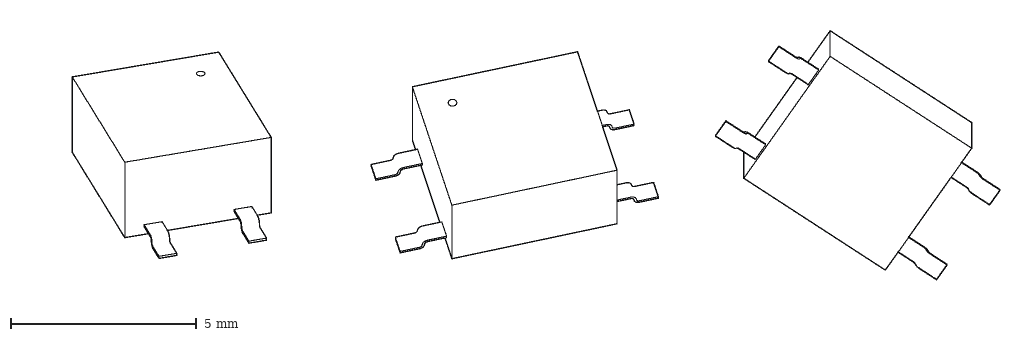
import cadquery as cq
import math

overall_length = 7.19
housing_length = 4.6
housing_width = 4.14
housing_height = 2.39

lead_width = 0.5
lead_thickness = 0.07
lead_pitch = 2.54
lead_height = 0.31
foot_length = 0.53
inner_bend_radius = 0.08
bend_angle = math.radians(78)

marker_diameter = 0.23
marker_depth = 0.05
marker_x = -1.395

marker_y = lead_pitch / 2
outer_bend_radius = inner_bend_radius + lead_thickness
lead_tip_x = overall_length / 2
lead_root_x = housing_length / 2

bend_radius_sum = inner_bend_radius + outer_bend_radius
bend_rise = bend_radius_sum * (1 - math.cos(bend_angle))
web_rise = lead_height - lead_thickness - bend_rise
bend_run = bend_radius_sum * math.sin(bend_angle) + web_rise / math.tan(bend_angle)

foot_bend_x = lead_tip_x - foot_length
shoulder_bend_x = foot_bend_x - bend_run
foot_bend_z = outer_bend_radius
shoulder_bend_z = lead_height - outer_bend_radius


def foot_bend_point(radius, angle):
    """Point on the lower bend, turned by angle from straight down."""
    return (foot_bend_x - radius * math.sin(angle), foot_bend_z - radius * math.cos(angle))


def shoulder_bend_point(radius, angle):
    """Point on the upper bend, turned by angle from straight up."""
    return (shoulder_bend_x + radius * math.sin(angle), shoulder_bend_z + radius * math.cos(angle))


def make_lead(side_angle, row_y):
    """Gull-wing lead modelled on the +X side, then turned about Z to its own side."""
    half_angle = bend_angle / 2
    lead = (
        cq.Workplane("XZ")
        .moveTo(lead_tip_x, 0)
        .lineTo(lead_tip_x, lead_thickness)
        .lineTo(*foot_bend_point(inner_bend_radius, 0))
        .threePointArc(
            foot_bend_point(inner_bend_radius, half_angle),
            foot_bend_point(inner_bend_radius, bend_angle),
        )
        .lineTo(*shoulder_bend_point(outer_bend_radius, bend_angle))
        .threePointArc(
            shoulder_bend_point(outer_bend_radius, half_angle),
            shoulder_bend_point(outer_bend_radius, 0),
        )
        .lineTo(lead_root_x, lead_height)
        .lineTo(lead_root_x, lead_height - lead_thickness)
        .lineTo(*shoulder_bend_point(inner_bend_radius, 0))
        .threePointArc(
            shoulder_bend_point(inner_bend_radius, half_angle),
            shoulder_bend_point(inner_bend_radius, bend_angle),
        )
        .lineTo(*foot_bend_point(outer_bend_radius, bend_angle))
        .threePointArc(
            foot_bend_point(outer_bend_radius, half_angle),
            foot_bend_point(outer_bend_radius, 0),
        )
        .close()
        .extrude(lead_width / 2, both=True)
    )
    return lead.rotate((0, 0, 0), (0, 0, 1), side_angle).translate((0, row_y, 0))


def make_marker():
    """Pin-one disc, flush with the top of the housing."""
    return (
        cq.Workplane("XY", origin=(marker_x, marker_y, housing_height))
        .circle(marker_diameter / 2)
        .extrude(-marker_depth)
    )


def make_housing(marker):
    """Plain block with a recess that holds the marker."""
    block = cq.Workplane("XY").box(
        housing_length, housing_width, housing_height, centered=(True, True, False)
    )
    return block.cut(marker)


marker = make_marker()
housing = make_housing(marker)
leads = [
    make_lead(side_angle, row_y)
    for side_angle in (0, 180)
    for row_y in (-lead_pitch / 2, lead_pitch / 2)
]

result = cq.Compound.makeCompound([housing.val(), marker.val(), *[lead.val() for lead in leads]])